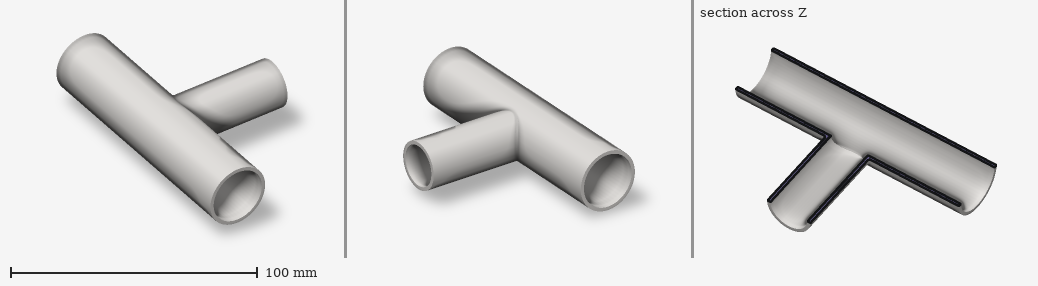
import cadquery as cq

run_length = 110.0
run_outer_diameter = 26.9
branch_outer_diameter = 21.3
branch_reach = 55.0
wall_thickness = 1.6
junction_fillet_radius = 1.0

run_bore_diameter = run_outer_diameter - 2 * wall_thickness
branch_bore_diameter = branch_outer_diameter - 2 * wall_thickness


def run_cylinder(diameter):
    """Cylinder along X, centred on the origin, as long as the run."""
    return cq.Workplane("YZ").circle(diameter / 2).extrude(run_length / 2, both=True)


def branch_cylinder(diameter):
    """Cylinder along +Y, from the run axis to the end of the branch."""
    return cq.Workplane("XZ").circle(diameter / 2).extrude(-branch_reach)


def outer_body():
    """Solid run and branch, blended where their outer surfaces meet."""
    run = run_cylinder(run_outer_diameter)
    branch = branch_cylinder(branch_outer_diameter)
    junction_zone = cq.selectors.BoxSelector(
        (-branch_outer_diameter, 0, -run_outer_diameter),
        (branch_outer_diameter, run_outer_diameter, run_outer_diameter),
    )
    junction_edges = run.union(branch).edges(junction_zone).edges("not %LINE")
    return junction_edges.fillet(junction_fillet_radius)


result = (
    outer_body()
    .cut(run_cylinder(run_bore_diameter))
    .cut(branch_cylinder(branch_bore_diameter))
)